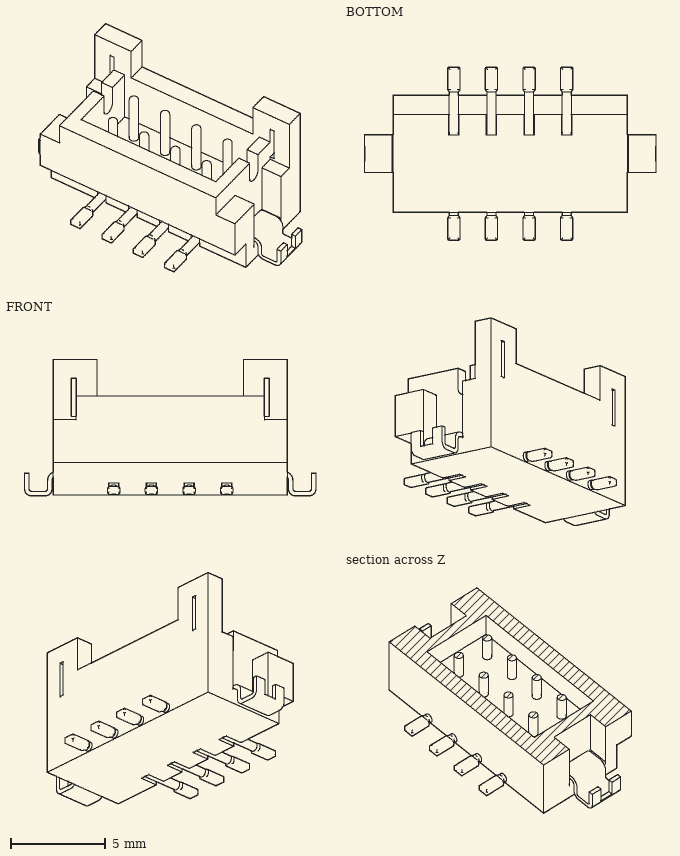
import cadquery as cq

body_length = 12.46
body_depth = 6.23
body_height = 5.27
wall_step = 1.04
overhang_z = 1.72
cavity_length = 8.62
cavity_depth = body_depth - 2 * wall_step
cavity_floor_z = 2.2

ear_length = 2.34
ear_top_z = 7.2

shroud_length = 10.01
ledge_z = 4.01
recess_depth = 2.55
recess_floor_z = 0.98
recess_edge_radius = 0.14
ear_slot_width = 0.25
ear_slot_bottom_z = 4.18
ear_slot_top_z = 6.2
key_slot_width = 0.79
key_slot_y = 0.51
key_slot_bottom_z = 3.74

pitch = 2.0
columns = 4
pin_diameter = 0.5
pin_top_z = 5.13
pin_tip_radius = 0.15
tail_z = 0.3
neck_end_y = 3.29
foot_start_y = 3.41
foot_end_y = 4.6
foot_width = 0.67
foot_height = 0.43
foot_z = 0.25
foot_edge_radius = 0.147
foot_corner_radius = 0.1
tail_notch_width = 0.56
tail_notch_height = 0.64

clip_end_x = 7.75
clip_width = 2.02
clip_thickness = 0.25
clip_bottom_z = -0.05
clip_tip_z = 1.16
clip_top_z = 1.25
clip_leg_x = 6.53
clip_tail_x = 4.93
clip_tail_z = 0.62
clip_upper_bend = 0.48
clip_lower_bend = 0.37
clip_notch_width = 0.78
clip_notch_z = 0.28

half_length = body_length / 2
half_depth = body_depth / 2
back_wall_y = half_depth - wall_step
shroud_x = shroud_length / 2
ends = (-1, 1)


def block(x0, x1, y0, y1, z0, z1):
    """Box between two opposite corners."""
    return cq.Workplane("XY").box(x1 - x0, y1 - y0, z1 - z0, centered=False).translate((x0, y0, z0))


def mirrored_x(shape, end):
    """The shape as built for the +X end, or its mirror image for the -X end."""
    return shape if end > 0 else shape.mirror("YZ")


def make_housing():
    housing = block(-half_length, half_length, -half_depth, half_depth, 0, body_height)
    housing = housing.cut(block(-half_length, half_length, -half_depth, -back_wall_y, 0, overhang_z))
    housing = housing.cut(
        block(-cavity_length / 2, cavity_length / 2, -cavity_depth / 2, cavity_depth / 2,
              cavity_floor_z, body_height)
    )
    ear = block(half_length - ear_length, half_length, back_wall_y, half_depth, body_height, ear_top_z)
    for end in ends:
        housing = housing.union(mirrored_x(ear, end))
        housing = housing.cut(mirrored_x(make_end_cuts(), end))
    return housing


def make_end_cuts():
    """Material removed from the +X end: corner ledge, clip recess, ear slot and key slot."""
    ledge = block(shroud_x, half_length, -half_depth, back_wall_y, ledge_z, body_height)
    recess = (
        cq.Workplane("XZ")
        .moveTo(shroud_x, ledge_z)
        .lineTo(shroud_x, recess_floor_z)
        .lineTo(half_length - recess_edge_radius, recess_floor_z)
        .tangentArcPoint((half_length, recess_floor_z - recess_edge_radius), relative=False)
        .lineTo(half_length, ledge_z)
        .close()
        .extrude(recess_depth / 2, both=True)
    )
    ear_slot = block(shroud_x, shroud_x + ear_slot_width, back_wall_y, half_depth,
                     ear_slot_bottom_z, ear_slot_top_z)
    key_radius = key_slot_width / 2
    key_straight_z = key_slot_bottom_z + key_radius
    key_slot = (
        cq.Workplane("YZ", origin=(cavity_length / 2, key_slot_y, 0))
        .moveTo(-key_radius, body_height)
        .lineTo(-key_radius, key_straight_z)
        .threePointArc((0, key_slot_bottom_z), (key_radius, key_straight_z))
        .lineTo(key_radius, body_height)
        .close()
        .extrude(half_length - cavity_length / 2)
    )
    return ledge.union(recess).union(ear_slot).union(key_slot)


def make_clip():
    """Strip for the +X end: upright tip, flat foot, leg, and a hook buried in the housing."""
    inner_upper_bend = clip_upper_bend - clip_thickness
    inner_lower_bend = clip_lower_bend - clip_thickness
    foot_top_z = clip_bottom_z + clip_thickness
    lower_bend_z = clip_bottom_z + clip_lower_bend
    upper_bend_z = clip_top_z - clip_upper_bend
    strip_under_z = clip_top_z - clip_thickness
    leg_back_x = clip_leg_x - clip_thickness
    leg_bend_x = clip_leg_x - clip_upper_bend
    tail_outer_x = clip_tail_x + clip_thickness
    tail_bend_x = clip_tail_x + clip_upper_bend
    tip_inner_x = clip_end_x - clip_thickness
    clip = (
        cq.Workplane("XZ")
        .moveTo(clip_end_x, clip_tip_z)
        .lineTo(clip_end_x, lower_bend_z)
        .tangentArcPoint((clip_end_x - clip_lower_bend, clip_bottom_z), relative=False)
        .lineTo(leg_back_x + clip_lower_bend, clip_bottom_z)
        .tangentArcPoint((leg_back_x, lower_bend_z), relative=False)
        .lineTo(leg_back_x, upper_bend_z)
        .tangentArcPoint((leg_bend_x, strip_under_z), relative=False)
        .lineTo(tail_bend_x, strip_under_z)
        .tangentArcPoint((tail_outer_x, upper_bend_z), relative=False)
        .lineTo(tail_outer_x, clip_tail_z)
        .lineTo(clip_tail_x, clip_tail_z)
        .lineTo(clip_tail_x, upper_bend_z)
        .tangentArcPoint((tail_bend_x, clip_top_z), relative=False)
        .lineTo(leg_bend_x, clip_top_z)
        .tangentArcPoint((clip_leg_x, upper_bend_z), relative=False)
        .lineTo(clip_leg_x, foot_top_z + inner_lower_bend)
        .tangentArcPoint((clip_leg_x + inner_lower_bend, foot_top_z), relative=False)
        .lineTo(tip_inner_x - inner_lower_bend, foot_top_z)
        .tangentArcPoint((tip_inner_x, foot_top_z + inner_lower_bend), relative=False)
        .lineTo(tip_inner_x, clip_tip_z)
        .close()
        .extrude(clip_width / 2, both=True)
    )
    tip_notch = block(clip_end_x - clip_lower_bend, clip_end_x, -clip_notch_width / 2, clip_notch_width / 2,
                      clip_notch_z, clip_tip_z)
    return clip.cut(tip_notch)


def make_contact():
    """Contact of the front row at x = 0, with its tail pointing towards -Y."""
    pin_y = -pitch / 2
    pin = (
        cq.Workplane("XY", origin=(0, pin_y, tail_z))
        .circle(pin_diameter / 2)
        .extrude(pin_top_z - tail_z)
        .faces(">Z").edges().fillet(pin_tip_radius)
    )
    neck = (
        cq.Workplane("XZ", origin=(0, pin_y, tail_z))
        .circle(pin_diameter / 2)
        .extrude(neck_end_y + pin_y)
    )
    bar = block(-foot_width / 2, foot_width / 2, -foot_end_y, -foot_start_y,
                foot_z - foot_height / 2, foot_z + foot_height / 2)
    foot = bar.edges("|Y").fillet(foot_edge_radius)
    foot = foot.intersect(bar.faces("<Y").edges("|X").fillet(foot_edge_radius))
    foot = foot.intersect(bar.faces("<Y").edges("|Z").fillet(foot_corner_radius))
    foot_outline = foot.faces(">Y").wires().val()
    neck_outline = neck.faces("<Y").wires().val()
    taper = cq.Workplane(cq.Solid.makeLoft([neck_outline, foot_outline], True))
    return pin.union(neck).union(taper).union(foot)


def make_tail_notch():
    """Opening in the lower front wall around one tail, at x = 0."""
    return block(-tail_notch_width / 2, tail_notch_width / 2, -back_wall_y, -pitch / 2,
                 0, tail_notch_height)


result = make_housing()
contact = make_contact()
column_places = [(i - (columns - 1) / 2) * pitch for i in range(columns)]
for x in column_places:
    result = result.cut(make_tail_notch().translate((x, 0, 0)))
for x in column_places:
    result = result.union(contact.translate((x, 0, 0)))
    result = result.union(contact.mirror("XZ").translate((x, 0, 0)))
for end in ends:
    result = result.union(mirrored_x(make_clip(), end))